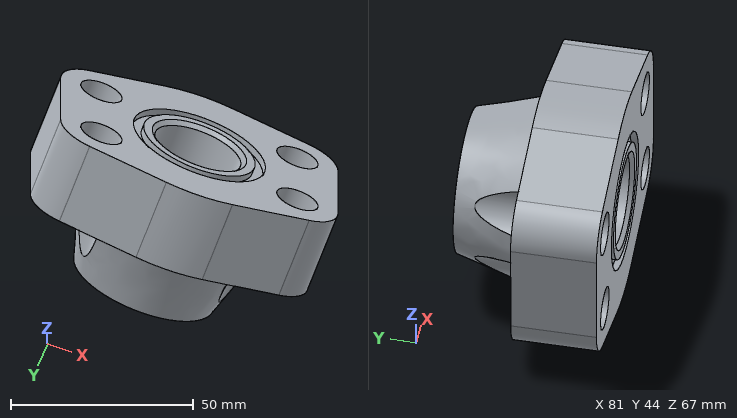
import cadquery as cq
import math

LENGTH = 81.0
HEIGHT = 67.0
FLANGE_THICKNESS = 24.0
CROWN_RADIUS = HEIGHT / 2

HOLE_X = 28.6
HOLE_Z = 13.9
HOLE_DIAMETER = 12.0
CORNER_RADIUS = LENGTH / 2 - HOLE_X
BOLT_HEAD_RADIUS = 9.55

TOTAL_DEPTH = 44.0
NECK_BASE_RADIUS = 26.25
NECK_TIP_RADIUS = 20.5
NECK_MIDDLE_RADIUS_X = 23.5
NECK_MIDDLE_RADIUS_Z = 23.0

BORE_RADIUS = 12.55
BORE_CHAMFER = 1.2
GROOVE_OUTER_RADIUS = 19.3
GROOVE_INNER_RADIUS = 16.3
GROOVE_DEPTH = 2.0

FRONT = cq.Plane(origin=(0, 0, 0), xDir=(1, 0, 0), normal=(0, 1, 0))
HOLE_CENTERS = [(sx * HOLE_X, sz * HOLE_Z) for sx in (-1, 1) for sz in (-1, 1)]


def make_flange():
    """Plate bounded by crown arcs, corner arcs and their common tangents."""
    hole_distance = math.hypot(HOLE_X, HOLE_Z)
    normal_angle = math.atan2(HOLE_Z, HOLE_X) + math.acos((CROWN_RADIUS - CORNER_RADIUS) / hole_distance)
    normal_x = math.cos(normal_angle)
    normal_z = math.sin(normal_angle)
    crown_x = CROWN_RADIUS * normal_x
    crown_z = CROWN_RADIUS * normal_z
    corner_x = HOLE_X + CORNER_RADIUS * normal_x
    corner_z = HOLE_Z + CORNER_RADIUS * normal_z
    corner_mid_x = HOLE_X + CORNER_RADIUS * math.cos(normal_angle / 2)
    corner_mid_z = HOLE_Z + CORNER_RADIUS * math.sin(normal_angle / 2)
    side_x = LENGTH / 2
    return (
        cq.Workplane(FRONT)
        .moveTo(-crown_x, crown_z)
        .threePointArc((0, CROWN_RADIUS), (crown_x, crown_z))
        .lineTo(corner_x, corner_z)
        .threePointArc((corner_mid_x, corner_mid_z), (side_x, HOLE_Z))
        .lineTo(side_x, -HOLE_Z)
        .threePointArc((corner_mid_x, -corner_mid_z), (corner_x, -corner_z))
        .lineTo(crown_x, -crown_z)
        .threePointArc((0, -CROWN_RADIUS), (-crown_x, -crown_z))
        .lineTo(-corner_x, -corner_z)
        .threePointArc((-corner_mid_x, -corner_mid_z), (-side_x, -HOLE_Z))
        .lineTo(-side_x, HOLE_Z)
        .threePointArc((-corner_mid_x, corner_mid_z), (-corner_x, corner_z))
        .close()
        .extrude(FLANGE_THICKNESS)
    )


def make_neck():
    """Smooth loft from base circle to tip circle through a slightly flattened middle section."""
    half_length = (TOTAL_DEPTH - FLANGE_THICKNESS) / 2
    return (
        cq.Workplane(FRONT)
        .workplane(offset=FLANGE_THICKNESS)
        .circle(NECK_BASE_RADIUS)
        .workplane(offset=half_length)
        .ellipse(NECK_MIDDLE_RADIUS_X, NECK_MIDDLE_RADIUS_Z)
        .workplane(offset=half_length)
        .circle(NECK_TIP_RADIUS)
        .loft()
    )


def make_bolt_head_clearance():
    """Cylinders around the bolt axes that scallop the neck."""
    return (
        cq.Workplane(FRONT)
        .workplane(offset=FLANGE_THICKNESS)
        .pushPoints(HOLE_CENTERS)
        .circle(BOLT_HEAD_RADIUS)
        .extrude(TOTAL_DEPTH - FLANGE_THICKNESS)
    )


def make_bolt_holes():
    return (
        cq.Workplane(FRONT)
        .pushPoints(HOLE_CENTERS)
        .circle(HOLE_DIAMETER / 2)
        .extrude(FLANGE_THICKNESS)
    )


def make_bore():
    """Through bore with a conical lead-in at the front face."""
    return (
        cq.Workplane("XY")
        .lineTo(BORE_RADIUS + BORE_CHAMFER, 0)
        .lineTo(BORE_RADIUS, BORE_CHAMFER)
        .lineTo(BORE_RADIUS, TOTAL_DEPTH)
        .lineTo(0, TOTAL_DEPTH)
        .close()
        .revolve(360, (0, 0, 0), (0, 1, 0))
    )


def make_seal_groove():
    return (
        cq.Workplane(FRONT)
        .circle(GROOVE_OUTER_RADIUS)
        .circle(GROOVE_INNER_RADIUS)
        .extrude(GROOVE_DEPTH)
    )


neck = make_neck().cut(make_bolt_head_clearance())
body = make_flange().union(neck)
result = body.cut(make_bolt_holes()).cut(make_bore()).cut(make_seal_groove())